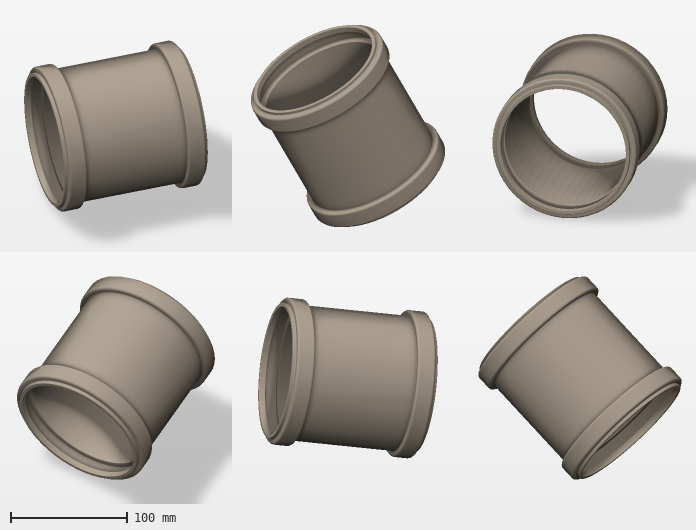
import cadquery as cq

length = 129.0
wall = 3.2
tube_radius = 58.6
bead_radius = 63.6
bore_radius = tube_radius - wall
groove_radius = bead_radius - wall

bead_offset = 3.1
bead_width = 15.6
bead_rounding = 1.9
root_rounding = 0.6
rim_rounding = 0.4
groove_side_wall = 2.6
groove_rounding = 0.6
groove_width = bead_width - 2 * groove_side_wall

half_length = length / 2
bead_center = half_length - bead_offset - bead_width / 2


def cylinder(radius, width, center):
    """Solid cylinder along Y, centred at the given Y position."""
    start = cq.Workplane("XZ", origin=(0, center + width / 2, 0))
    return start.circle(radius).extrude(width)


def at_radius(body, radius, positions):
    """Select the circular edges of one radius at the given Y positions."""
    edges = [
        edge
        for edge in body.edges("%CIRCLE").vals()
        if abs(edge.radius() - radius) < 0.01
        and any(abs(edge.Center().y - y) < 0.01 for y in positions)
    ]
    return body.newObject(edges)


def side_positions(width):
    """Y positions of both sides of a band of this width centred on each bead."""
    return [
        end * bead_center + side * width / 2
        for end in (-1, 1)
        for side in (-1, 1)
    ]


bead_sides = side_positions(bead_width)
groove_sides = side_positions(groove_width)

body = cylinder(tube_radius, length, 0)
for end in (-1, 1):
    body = body.union(cylinder(bead_radius, bead_width, end * bead_center))
body = at_radius(body, bead_radius, bead_sides).fillet(bead_rounding)
body = at_radius(body, tube_radius, bead_sides).fillet(root_rounding)

body = body.cut(cylinder(bore_radius, length, 0))
for end in (-1, 1):
    body = body.cut(cylinder(groove_radius, groove_width, end * bead_center))
body = at_radius(body, groove_radius, groove_sides).fillet(groove_rounding)
body = at_radius(body, bore_radius, groove_sides).fillet(groove_rounding)

end_faces = [-half_length, half_length]
body = at_radius(body, tube_radius, end_faces).fillet(rim_rounding)
body = at_radius(body, bore_radius, end_faces).fillet(rim_rounding)

result = body